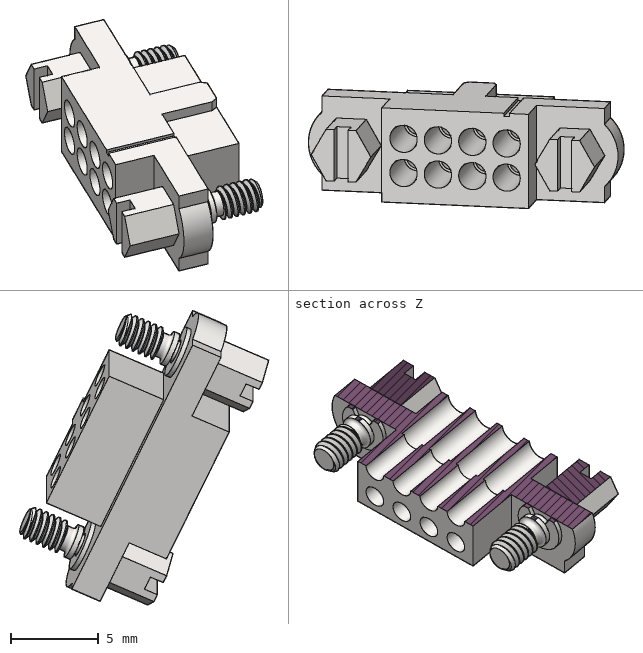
import cadquery as cq
import math


OVERALL_LENGTH = 18.0
HEIGHT = 5.5
FLANGE_THICKNESS = 1.78
FLANGE_LENGTH = 16.42
EAR_RADIUS = 2.5
BLOCK_WIDTH = 8.53
FRONT_LENGTH = 2.34
REAR_LENGTH = 3.42
REAR_STEP = 0.65
KEY_WIDTH = 1.9
KEY_LEAD_LENGTH = 0.36
KEY_LEAD_INSET = 0.22
MARK_WIDTH = 0.32
MARK_DEPTH = 0.18
front_face = -FLANGE_THICKNESS - FRONT_LENGTH

CONTACT_PITCH = 2.0
CONTACT_COLUMNS = 4
CONTACT_ROWS = 2
CONTACT_BORE = 1.3
CONTACT_COUNTERBORE = 1.58
last_column = CONTACT_PITCH * (CONTACT_COLUMNS - 1) / 2
last_row = CONTACT_PITCH * (CONTACT_ROWS - 1) / 2

screw_offset = OVERALL_LENGTH / 2 - EAR_RADIUS
HEAD_ACROSS_FLATS = 3.0
HEAD_LENGTH = 2.99
DRIVE_SLOT_WIDTH = 0.81
DRIVE_SLOT_DEPTH = 0.81
SHANK_DIAMETER = 1.42
NECK_RADIUS = 0.6
NECK_FILLET = 0.1
COLLAR_RADIUS = 1.0
COLLAR_BASE = 0.49
COLLAR_TOP = 0.81
COLLAR_FILLET = 0.22
THREAD_START = 1.35
SCREW_TIP = 3.73
THREAD_DIAMETER = 1.93
THREAD_PITCH = 0.4
THREAD_CREST_WIDTH = 0.07
THREAD_FLANK_ANGLE = 30.0
THREAD_EMBED = 0.02
THREAD_CREST_POSITION = 1.75
TIP_CHAMFER_LENGTH = 0.29
shank_radius = SHANK_DIAMETER / 2
thread_radius = THREAD_DIAMETER / 2
neck_shoulder_radius = NECK_RADIUS + NECK_FILLET

CLIP_THICKNESS = 0.27
CLIP_DIAMETER = 3.0
CLIP_THROAT_HALF = 0.49
CLIP_MOUTH_HALF = 0.74
CLIP_MOUTH_HEIGHT = 0.99
CLIP_PRONG_HEIGHT = 1.1
CLIP_PRONG_OUTER_HEIGHT = 1.0
clip_radius = CLIP_DIAMETER / 2
clip_bore_radius = neck_shoulder_radius


def block(width, y_front, y_rear, z_bottom, z_top):
    """Box centred on X, spanning the given Y and Z limits."""
    return (
        cq.Workplane("XY")
        .box(width, y_rear - y_front, z_top - z_bottom, centered=(True, False, False))
        .translate((0, y_front, z_bottom))
    )


def bores(points, diameter, y_front, y_rear):
    """Cylinders along Y at the given (x, z) points."""
    return (
        cq.Workplane("XZ", origin=(0, y_front, 0))
        .pushPoints(points)
        .circle(diameter / 2)
        .extrude(y_front - y_rear)
    )


def make_key():
    """Polarising key on top of the rear block, tapered at its leading end."""
    half = KEY_WIDTH / 2
    return (
        cq.Workplane("XY", origin=(0, 0, HEIGHT / 2 - REAR_STEP))
        .polyline([
            (-half, 0),
            (half, 0),
            (half, REAR_LENGTH - KEY_LEAD_LENGTH),
            (half - KEY_LEAD_INSET, REAR_LENGTH),
            (-half + KEY_LEAD_INSET, REAR_LENGTH),
            (-half, REAR_LENGTH - KEY_LEAD_LENGTH),
        ])
        .close()
        .extrude(REAR_STEP)
    )


def make_housing():
    """Flanged connector block with contact holes, key and marker groove."""
    top = HEIGHT / 2
    screw_points = [(-screw_offset, 0), (screw_offset, 0)]
    contact_points = [
        (column * CONTACT_PITCH - last_column, row * CONTACT_PITCH - last_row)
        for column in range(CONTACT_COLUMNS)
        for row in range(CONTACT_ROWS)
    ]

    body = block(FLANGE_LENGTH, -FLANGE_THICKNESS, 0, -top, top)
    body = body.union(bores(screw_points, 2 * EAR_RADIUS, -FLANGE_THICKNESS, 0))
    body = body.union(block(BLOCK_WIDTH, front_face, 0, -top, top))
    body = body.union(block(BLOCK_WIDTH, 0, REAR_LENGTH, REAR_STEP - top, top - REAR_STEP))
    body = body.union(make_key())

    body = body.cut(bores(contact_points, CONTACT_BORE, front_face, REAR_LENGTH))
    body = body.cut(bores(contact_points, CONTACT_COUNTERBORE, front_face, 0))

    body = body.cut(bores(screw_points, SHANK_DIAMETER, -FLANGE_THICKNESS, 0))

    groove = block(MARK_WIDTH, front_face, 0, top - MARK_DEPTH, top)
    return body.cut(groove.translate((last_column, 0, 0)))


def make_thread_ridge():
    """Helical ridge about local Z, overrunning the thread and rooted just inside the core."""
    base_radius = shank_radius - THREAD_EMBED
    crest_half = THREAD_CREST_WIDTH / 2
    base_half = crest_half + (thread_radius - base_radius) * math.tan(math.radians(THREAD_FLANK_ANGLE))
    start = THREAD_CREST_POSITION - 2 * THREAD_PITCH
    length = SCREW_TIP + THREAD_PITCH - start
    helix = cq.Wire.makeHelix(THREAD_PITCH, length, base_radius)
    profile = cq.Workplane("XZ").polyline([
        (base_radius, -base_half),
        (thread_radius, -crest_half),
        (thread_radius, crest_half),
        (base_radius, base_half),
    ]).close()
    ridge = profile.sweep(cq.Workplane(helix), isFrenet=True)
    return ridge.translate((0, 0, start))


def make_turned_body():
    """Shank, filleted neck, collar and thread core, turned about local Z."""
    collar_root_radius = shank_radius + COLLAR_FILLET
    fillet_sag = 1 - math.sqrt(0.5)
    return (
        cq.Workplane("XZ")
        .moveTo(0, -FLANGE_THICKNESS)
        .lineTo(shank_radius, -FLANGE_THICKNESS)
        .lineTo(shank_radius, 0)
        .lineTo(neck_shoulder_radius, 0)
        .threePointArc(
            (NECK_RADIUS + NECK_FILLET * fillet_sag, NECK_FILLET * fillet_sag),
            (NECK_RADIUS, NECK_FILLET),
        )
        .lineTo(NECK_RADIUS, COLLAR_BASE - NECK_FILLET)
        .threePointArc(
            (NECK_RADIUS + NECK_FILLET * fillet_sag, COLLAR_BASE - NECK_FILLET * fillet_sag),
            (neck_shoulder_radius, COLLAR_BASE),
        )
        .lineTo(COLLAR_RADIUS, COLLAR_BASE)
        .lineTo(COLLAR_RADIUS, COLLAR_TOP)
        .lineTo(collar_root_radius, COLLAR_TOP)
        .threePointArc(
            (shank_radius + COLLAR_FILLET * fillet_sag, COLLAR_TOP + COLLAR_FILLET * fillet_sag),
            (shank_radius, COLLAR_TOP + COLLAR_FILLET),
        )
        .lineTo(shank_radius, SCREW_TIP)
        .lineTo(0, SCREW_TIP)
        .close()
        .revolve(360, (0, 0, 0), (0, 1, 0))
    )


def make_thread():
    """Thread ridge trimmed square at its start and to a cone at the screw tip."""
    outer_radius = thread_radius + THREAD_EMBED
    envelope = (
        cq.Workplane("XZ")
        .polyline([
            (0, THREAD_START),
            (outer_radius, THREAD_START),
            (outer_radius, SCREW_TIP - TIP_CHAMFER_LENGTH),
            (shank_radius + THREAD_EMBED, SCREW_TIP),
            (0, SCREW_TIP),
        ])
        .close()
        .revolve(360, (0, 0, 0), (0, 1, 0))
    )
    return make_thread_ridge().intersect(envelope)


def make_head():
    """Hex head with a driver slot across its flats."""
    across_corners = HEAD_ACROSS_FLATS / math.cos(math.pi / 6)
    head_end = cq.Workplane("XY", origin=(0, 0, -FLANGE_THICKNESS - HEAD_LENGTH))
    head = head_end.polygon(6, across_corners).extrude(HEAD_LENGTH)
    slot = head_end.rect(DRIVE_SLOT_WIDTH, HEAD_ACROSS_FLATS).extrude(DRIVE_SLOT_DEPTH)
    return head.cut(slot)


def make_screw():
    """Slotted hex jackscrew, modelled along local Z and turned to point along +Y."""
    screw = make_turned_body().union(make_thread()).union(make_head())
    return screw.rotate((0, 0, 0), (1, 0, 0), -90)


def make_clip():
    """Open-topped retaining ring around the screw neck, on the flange rear face."""
    throat_height = math.sqrt(clip_bore_radius**2 - CLIP_THROAT_HALF**2)
    outer_half = math.sqrt(clip_radius**2 - CLIP_PRONG_OUTER_HEIGHT**2)
    prong_middle = (CLIP_MOUTH_HALF + outer_half) / 2
    return (
        cq.Workplane("XZ")
        .moveTo(CLIP_THROAT_HALF, throat_height)
        .lineTo(CLIP_MOUTH_HALF, CLIP_MOUTH_HEIGHT)
        .threePointArc((prong_middle, CLIP_PRONG_HEIGHT), (outer_half, CLIP_PRONG_OUTER_HEIGHT))
        .threePointArc((0, -clip_radius), (-outer_half, CLIP_PRONG_OUTER_HEIGHT))
        .threePointArc((-prong_middle, CLIP_PRONG_HEIGHT), (-CLIP_MOUTH_HALF, CLIP_MOUTH_HEIGHT))
        .lineTo(-CLIP_THROAT_HALF, throat_height)
        .threePointArc((0, -clip_bore_radius), (CLIP_THROAT_HALF, throat_height))
        .close()
        .extrude(-CLIP_THICKNESS)
    )


housing = make_housing()
screws = []
clips = []
for side in (-1, 1):
    position = (side * screw_offset, 0, 0)
    screws.append(make_screw().translate(position).val())
    clips.append(make_clip().translate(position).val())

result = cq.Compound.makeCompound([housing.val(), *screws, *clips])